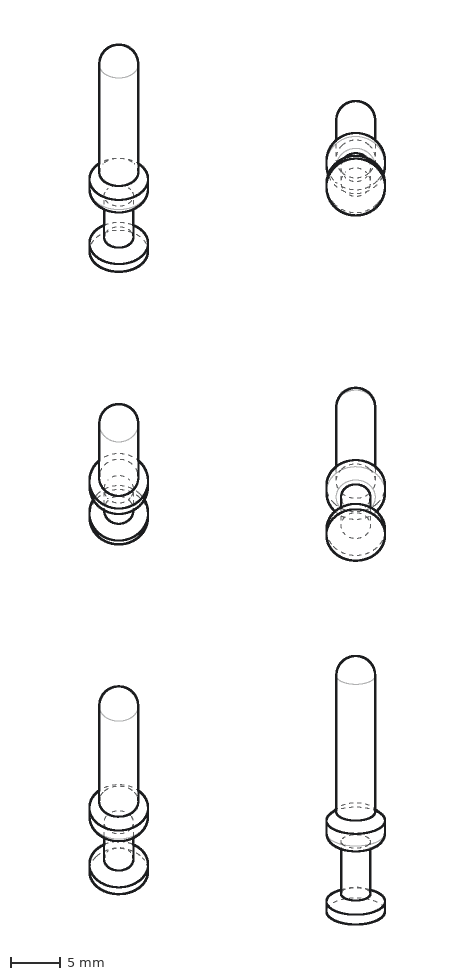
import cadquery as cq
import math

collar_radius = 3.0
shaft_radius = 2.0
neck_radius = 1.5

foot_top = 2.0
collar_bottom = 8.0
collar_top = 11.4
total_height = 29.0

foot_cone_angle = 30.0
collar_fillet = 1.0
collar_cone_height = collar_radius - shaft_radius

foot_cone_height = (collar_radius - neck_radius) * math.tan(math.radians(foot_cone_angle))
foot_rim_top = foot_top - foot_cone_height
collar_rim_top = collar_top - collar_cone_height
dome_base = total_height - shaft_radius

half_quarter = math.sqrt(0.5)
fillet_middle = (
    collar_radius - collar_fillet * (1 - half_quarter),
    collar_bottom + collar_fillet * (1 - half_quarter),
)
dome_middle = (shaft_radius * half_quarter, dome_base + shaft_radius * half_quarter)


def half_profile():
    """Closed outline of one half of the pin: Y is the radius, Z the height."""
    foot = (
        cq.Workplane("YZ")
        .moveTo(0, 0)
        .lineTo(collar_radius, 0)
        .lineTo(collar_radius, foot_rim_top)
        .lineTo(neck_radius, foot_top)
    )
    collar = (
        foot.lineTo(neck_radius, collar_bottom)
        .lineTo(collar_radius - collar_fillet, collar_bottom)
        .threePointArc(fillet_middle, (collar_radius, collar_bottom + collar_fillet))
        .lineTo(collar_radius, collar_rim_top)
        .lineTo(shaft_radius, collar_top)
    )
    shaft = collar.lineTo(shaft_radius, dome_base).threePointArc(dome_middle, (0, total_height))
    return shaft.close()


result = half_profile().revolve(360, (0, 0, 0), (0, 1, 0))